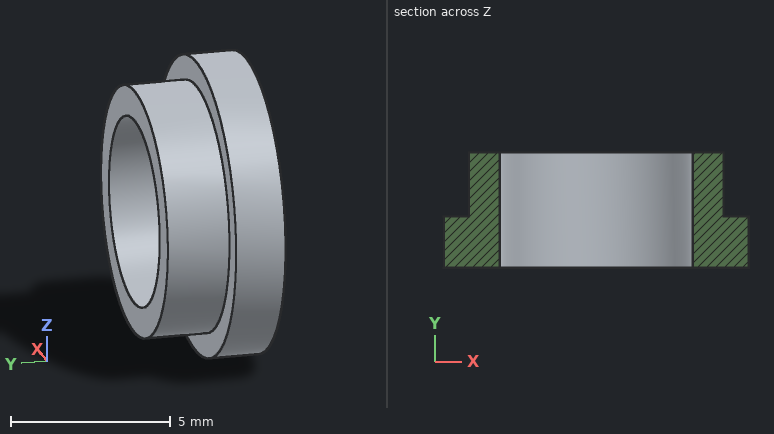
import cadquery as cq

flange_diameter = 9.56
body_diameter = 7.97
bore_diameter = 6.03
total_length = 3.6
flange_thickness = 1.61


def cylinder_along_y(diameter, length):
    """Cylinder on the Y axis, starting at Y = 0 and growing toward +Y."""
    return cq.Workplane("XZ").circle(diameter / 2).extrude(-length)


flange = cylinder_along_y(flange_diameter, flange_thickness)
body = cylinder_along_y(body_diameter, total_length)

bore = cylinder_along_y(bore_diameter, total_length)

result = flange.union(body).cut(bore)